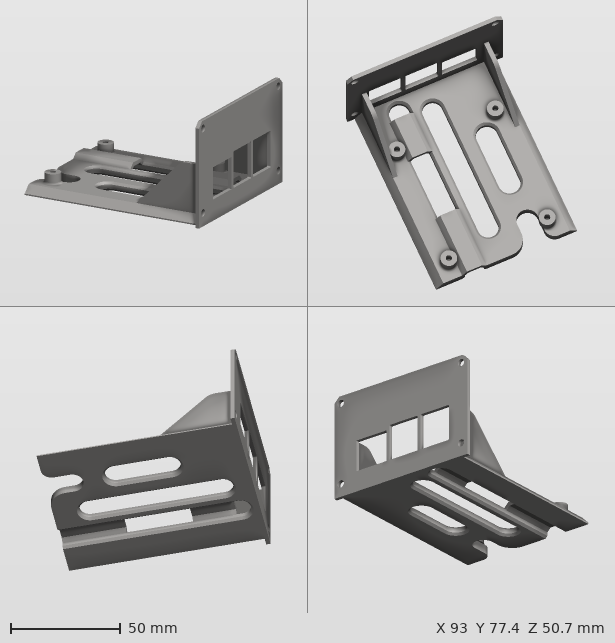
import cadquery as cq
import math

length = 93.0
tray_width = 70.3
tray_thickness = 4.3
side_lip = 0.65
side_bevel = tray_thickness - side_lip

panel_thickness = 1.95
panel_width = 77.4
panel_height = 50.7
panel_corner = 2.8
panel_hole_diameter = 3.6
panel_hole_spacing = 70.0
panel_hole_low = 6.5
panel_hole_high = 47.0
tray_length = length - panel_thickness

window_sill = 10.2
windows = [
    (19.7, 16.5, 17.6, 0.6),
    (1.6, 16.5, 17.6, 0.6),
    (-17.1, 17.6, 15.4, 0),
]

gusset_thickness = 2.2
gusset_top = 27.9
gusset_start = 56.2
gusset_round = 5.95

slot_bevel = 1.1
bevel_angle = 45
narrow_slot = 9.6
wide_slot = 10.2
slots = [
    (12.1, 83.7, 1.8, narrow_slot),
    (27.7, 63.1, -16.0, wide_slot),
]

channel_y = 16.0
channel_start = -18.6
channel_end = 88.8
bridge_spans = [(0, 29.9), (60.8, 81.2)]
bridge_top = 6.7
bridge_flat = 7.5
bridge_wall = 1.95

notch_depth = 17.7
notch_y = -16.0
notch_width = 10.2
notch_inner_round = 8.0
notch_outer_round = 5.0

standoff_diameter = 7.6
standoff_top = 9.3
standoff_flare = 1.0
screw_hole_diameter = 2.8
standoff_xs = (8.5, 66.5)
standoff_ys = (25.0, -24.0)


def make_tray():
    half = tray_width / 2
    outline = [
        (-half, 0),
        (half, 0),
        (half, side_lip),
        (half - side_bevel, tray_thickness),
        (side_bevel - half, tray_thickness),
        (-half, side_lip),
    ]
    return cq.Workplane("YZ").polyline(outline).close().extrude(tray_length)


def make_panel():
    half = panel_width / 2
    panel = (
        cq.Workplane("YZ", origin=(tray_length, 0, 0))
        .moveTo(-half, 0)
        .lineTo(half, 0)
        .lineTo(half, panel_height)
        .lineTo(-half, panel_height)
        .close()
        .extrude(panel_thickness)
        .edges("|X and >Z")
        .chamfer(panel_corner)
    )
    hole_y = panel_hole_spacing / 2
    holes = (
        cq.Workplane("YZ", origin=(tray_length, 0, 0))
        .pushPoints([(y, z) for y in (-hole_y, hole_y) for z in (panel_hole_low, panel_hole_high)])
        .circle(panel_hole_diameter / 2)
        .extrude(panel_thickness)
    )
    panel = panel.cut(holes)
    for center_y, width, height, corner_radius in windows:
        window = (
            cq.Workplane("YZ", origin=(tray_length, center_y, window_sill + height / 2))
            .rect(width, height)
            .extrude(panel_thickness)
        )
        if corner_radius:
            window = window.edges("|X").fillet(corner_radius)
        panel = panel.cut(window)
    return panel


def make_gusset(low_y):
    rise = gusset_top - tray_thickness
    gusset = (
        cq.Workplane("XZ", origin=(0, low_y + gusset_thickness, 0))
        .moveTo(gusset_start, tray_thickness)
        .lineTo(gusset_start + rise, gusset_top)
        .lineTo(tray_length, gusset_top)
        .lineTo(tray_length, tray_thickness)
        .close()
        .extrude(gusset_thickness)
    )
    top_corner = cq.selectors.NearestToPointSelector((gusset_start + rise, low_y, gusset_top))
    return gusset.edges("|Y").edges(top_corner).fillet(gusset_round)


def slot_cutter(first_x, last_x, center_y, width):
    """Through slot that widens at 45 degrees towards both faces of the tray."""
    center_x = (first_x + last_x) / 2
    span = last_x - first_x
    cutter = cq.Workplane("XY").center(center_x, center_y).slot2D(span, width).extrude(tray_thickness)
    for face_z, inward in ((0, 1), (tray_thickness, -1)):
        rim = (
            cq.Workplane("XY", origin=(center_x, center_y, face_z))
            .slot2D(span + 2 * slot_bevel, width + 2 * slot_bevel)
            .extrude(inward * slot_bevel, taper=bevel_angle)
        )
        cutter = cutter.union(rim)
    return cutter


def notch_cutter():
    """Round-ended notch whose mouth flares into the front edge with two convex corners."""
    top_y = notch_y + notch_width / 2
    bottom_y = notch_y - notch_width / 2
    end_center_x = notch_depth - notch_width / 2
    diagonal = math.sqrt(0.5)
    inner_mid = notch_inner_round * (1 - diagonal)
    outer_mid = notch_outer_round * (1 - diagonal)
    return (
        cq.Workplane("XY")
        .moveTo(0, top_y + notch_inner_round)
        .threePointArc((inner_mid, top_y + inner_mid), (notch_inner_round, top_y))
        .lineTo(end_center_x, top_y)
        .threePointArc((notch_depth, notch_y), (end_center_x, bottom_y))
        .lineTo(notch_outer_round, bottom_y)
        .threePointArc((outer_mid, bottom_y - outer_mid), (0, bottom_y - notch_outer_round))
        .close()
        .extrude(tray_thickness)
    )


def make_bridge(first_x, last_x):
    """Roof-shaped strip of even wall thickness over the channel."""
    half_top = bridge_flat / 2
    half_foot = half_top + bridge_top - tray_thickness
    half_ceiling = half_top - bridge_wall * math.tan(math.pi / 8)
    ceiling = bridge_top - bridge_wall
    half_channel = narrow_slot / 2
    spring = ceiling - (half_channel - half_ceiling)
    outline = [
        (half_channel, spring),
        (half_foot, spring),
        (half_foot, tray_thickness),
        (half_top, bridge_top),
        (-half_top, bridge_top),
        (-half_foot, tray_thickness),
        (-half_foot, spring),
        (-half_channel, spring),
        (-half_ceiling, ceiling),
        (half_ceiling, ceiling),
    ]
    return (
        cq.Workplane("YZ", origin=(first_x, channel_y, 0))
        .polyline(outline)
        .close()
        .extrude(last_x - first_x)
    )


def standoff_cylinder(x, y, diameter):
    """Upright cylinder from the tray's top face to the standoff's top."""
    return (
        cq.Workplane("XY", origin=(x, y, tray_thickness))
        .circle(diameter / 2)
        .extrude(standoff_top - tray_thickness)
    )


def make_standoff_flare(x, y):
    """Concave skirt that blends a standoff into the tray."""
    radius = standoff_diameter / 2
    sag = standoff_flare * (1 - math.sqrt(0.5))
    return (
        cq.Workplane("XZ", origin=(x, y, tray_thickness))
        .moveTo(0, 0)
        .lineTo(radius + standoff_flare, 0)
        .threePointArc((radius + sag, sag), (radius, standoff_flare))
        .lineTo(0, standoff_flare)
        .close()
        .revolve(360, (0, 0, 0), (0, 1, 0))
    )


result = make_tray()
for slot in slots:
    result = result.cut(slot_cutter(*slot))
result = result.cut(slot_cutter(channel_start, channel_end, channel_y, narrow_slot))

for bridge_span in bridge_spans:
    result = result.union(make_bridge(*bridge_span))

standoff_places = [(x, y) for x in standoff_xs for y in standoff_ys]
for place in standoff_places:
    result = result.union(make_standoff_flare(*place))
notch = notch_cutter()
flare_trim = notch.translate((0, 0, standoff_flare))
result = result.cut(notch.union(flare_trim))
for place in standoff_places:
    result = result.union(standoff_cylinder(*place, standoff_diameter))
    result = result.cut(standoff_cylinder(*place, screw_hole_diameter))

result = result.union(make_panel())
gusset_outer_y = tray_width / 2 - side_bevel
for gusset_low_y in (gusset_outer_y - gusset_thickness, -gusset_outer_y):
    result = result.union(make_gusset(gusset_low_y))